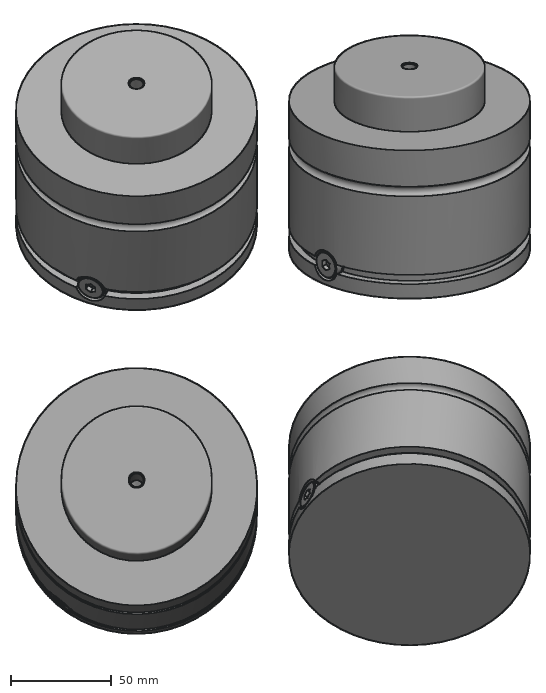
import cadquery as cq
import math

total_height = 100.0
body_diameter = 120.0
body_height = 81.0
piston_diameter = 75.0
piston_edge_radius = 1.0

round_groove_height = 58.5
round_groove_radius = 2.6

square_groove_bottom = 8.0
square_groove_width = 5.0
square_groove_depth = 4.0

tap_drill_diameter = 6.8
tap_countersink_diameter = 8.0
tap_drill_depth = 20.0
drill_point_angle = 118.0

plug_bore_diameter = 16.0
plug_bore_depth = 5.0
plug_diameter = 14.0
plug_recess = 0.5
plug_chamfer = 0.5
hex_across_flats = 5.0
hex_depth = 3.0

body_radius = body_diameter / 2
plug_height = square_groove_bottom + square_groove_width / 2


def make_body():
    """Revolve the body with its square groove."""
    square_groove_top = square_groove_bottom + square_groove_width
    square_groove_radius = body_radius - square_groove_depth
    return (
        cq.Workplane("XZ")
        .lineTo(body_radius, 0)
        .lineTo(body_radius, square_groove_bottom)
        .lineTo(square_groove_radius, square_groove_bottom)
        .lineTo(square_groove_radius, square_groove_top)
        .lineTo(body_radius, square_groove_top)
        .lineTo(body_radius, body_height)
        .lineTo(0, body_height)
        .close()
        .revolve(360, (0, 0, 0), (0, 1, 0))
    )


def make_round_groove():
    """Ring of circular section, centred on the body surface, as a cutting solid."""
    return (
        cq.Workplane("XZ")
        .center(body_radius, round_groove_height)
        .circle(round_groove_radius)
        .revolve(360, (-body_radius, 0, 0), (-body_radius, 1, 0))
    )


def make_piston():
    """Piston standing on the body, with a rounded top edge."""
    return (
        cq.Workplane("XY", origin=(0, 0, body_height))
        .circle(piston_diameter / 2)
        .extrude(total_height - body_height)
        .faces(">Z")
        .edges()
        .fillet(piston_edge_radius)
    )


def make_tapped_hole():
    """Countersunk blind hole with a drill point, as a cutting solid."""
    drill_radius = tap_drill_diameter / 2
    countersink_radius = tap_countersink_diameter / 2
    countersink_depth = countersink_radius - drill_radius
    point_length = drill_radius / math.tan(math.radians(drill_point_angle / 2))
    return (
        cq.Workplane("XZ", origin=(0, 0, total_height))
        .lineTo(countersink_radius, 0)
        .lineTo(drill_radius, -countersink_depth)
        .lineTo(drill_radius, -tap_drill_depth)
        .lineTo(0, -tap_drill_depth - point_length)
        .close()
        .revolve(360, (0, 0, 0), (0, 1, 0))
    )


def plug_plane(depth):
    """Workplane facing -Y on the plug axis, at a depth below the body surface."""
    return cq.Workplane("XZ", origin=(0, depth - body_radius, plug_height))


def make_plug_bore():
    """Cutting solid from the bore floor out to the body surface."""
    return plug_plane(plug_bore_depth).circle(plug_bore_diameter / 2).extrude(plug_bore_depth)


def make_plug():
    """Chamfered plug with a hexagon socket, one corner pointing up."""
    plug = (
        plug_plane(plug_bore_depth)
        .circle(plug_diameter / 2)
        .extrude(plug_bore_depth - plug_recess)
        .faces("<Y")
        .edges()
        .chamfer(plug_chamfer)
    )
    hex_across_corners = hex_across_flats / math.cos(math.radians(30))
    socket = (
        plug_plane(plug_recess + hex_depth)
        .transformed(rotate=(0, 0, 90))
        .polygon(6, hex_across_corners)
        .extrude(hex_depth)
    )
    return plug.cut(socket)


body = make_body().union(make_piston())
body = body.cut(make_round_groove())
body = body.cut(make_tapped_hole())
body = body.cut(make_plug_bore())
result = body.union(make_plug())